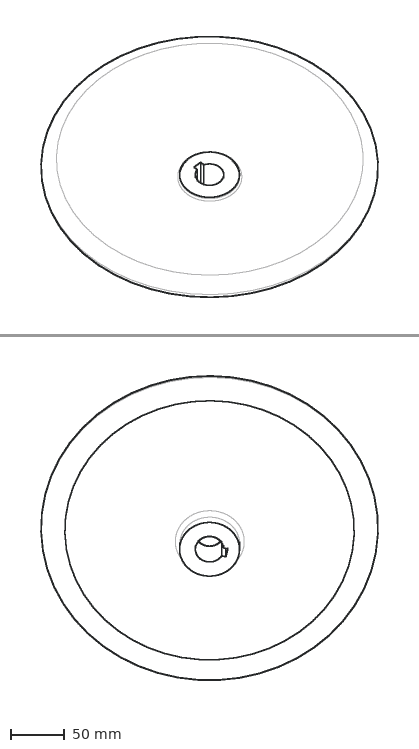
import cadquery as cq
import math

outer_diameter = 315.0
height = 56.0

rim_section_radius = 11.5
rim_center_radius = outer_diameter / 2 - rim_section_radius
rim_center_z = height - rim_section_radius

web_angle = math.radians(12.6)
web_thickness = 14.0

hub_radius = 28.0
hub_height = 33.5
upper_fillet = 1.5
lower_fillet = 5.5

bore_radius = 13.2
keyway_reach = 16.7
keyway_width = 8.5


def upper_web_z(radius):
    """Height of the upper cone at a given distance from the axis."""
    tangent_z_at_rim_center = rim_center_z + rim_section_radius / math.cos(web_angle)
    return tangent_z_at_rim_center - (rim_center_radius - radius) * math.tan(web_angle)


def lower_web_z(radius):
    """Height of the lower cone, offset square to the upper one."""
    return upper_web_z(radius) - web_thickness / math.cos(web_angle)


def make_hub_and_web():
    """Half section of hub and web, turned about Z and filleted at the hub."""
    tangent_radius = rim_center_radius - rim_section_radius * math.sin(web_angle)
    body = (
        cq.Workplane("XZ")
        .moveTo(0, 0)
        .lineTo(hub_radius, 0)
        .lineTo(hub_radius, lower_web_z(hub_radius))
        .lineTo(tangent_radius, lower_web_z(tangent_radius))
        .lineTo(tangent_radius, upper_web_z(tangent_radius))
        .lineTo(hub_radius, upper_web_z(hub_radius))
        .lineTo(hub_radius, hub_height)
        .lineTo(0, hub_height)
        .close()
        .revolve(360, (0, 0, 0), (0, 1, 0))
    )
    for web_z, fillet in (
        (lower_web_z(hub_radius), lower_fillet),
        (upper_web_z(hub_radius), upper_fillet),
    ):
        root = cq.selectors.NearestToPointSelector((0, 0, web_z))
        body = body.edges("%CIRCLE").edges(root).fillet(fillet)
    return body


def make_rim():
    return (
        cq.Workplane("XZ")
        .center(rim_center_radius, rim_center_z)
        .circle(rim_section_radius)
        .revolve(360, (-rim_center_radius, 0, 0), (-rim_center_radius, 1, 0))
    )


def make_bore():
    """Through bore with one keyway on the -X side."""
    bore = cq.Workplane("XY").circle(bore_radius).extrude(hub_height)
    keyway = (
        cq.Workplane("XY")
        .center(-keyway_reach / 2, 0)
        .rect(keyway_reach, keyway_width)
        .extrude(hub_height)
    )
    return bore.union(keyway)


result = make_hub_and_web().union(make_rim()).cut(make_bore())